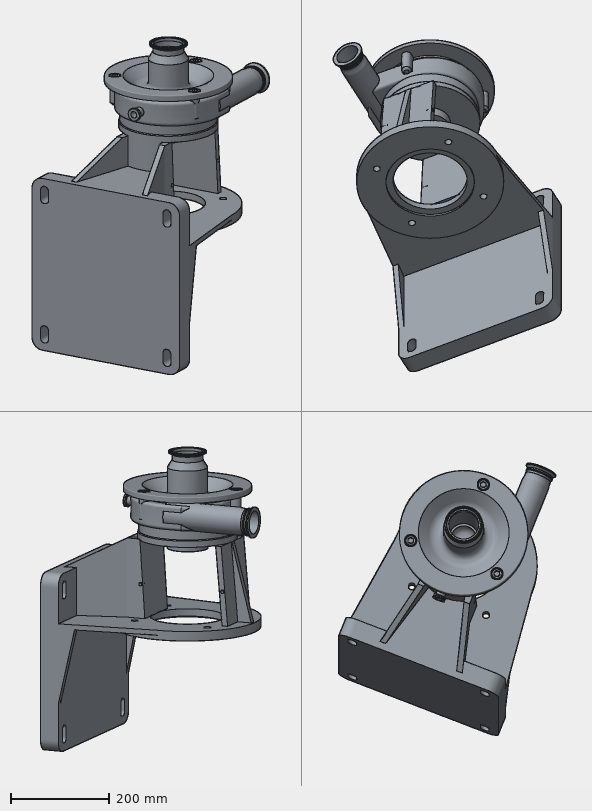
import cadquery as cq
import math


WALL_WIDTH = 350.0
WALL_HEIGHT = 370.0
WALL_THICKNESS = 40.0
WALL_FRONT_Y = -250.0
WALL_REAR_Y = WALL_FRONT_Y + WALL_THICKNESS
WALL_CORNER_RADIUS = 25.0
SLOT_WIDTH = 19.0
SLOT_LENGTH = 37.0
SLOT_EDGE_X = 30.0
SLOT_EDGE_Z = 35.0

SHELF_TOP_Z = 270.0
SHELF_DISC_THICKNESS = 20.0
SHELF_PLATE_THICKNESS = 10.5
SHELF_RADIUS = 150.0
SHELF_BORE_RADIUS = 75.5
MOTOR_REGISTER_RADIUS = 90.0
MOTOR_REGISTER_DEPTH = 5.0
MOTOR_BOLT_CIRCLE_RADIUS = 115.0
MOTOR_BOLT_DIAMETER = 14.0

GUSSET_TIP_Y = -175.5
GUSSET_BOTTOM_Z = 103.0
GUSSET_THICKNESS = 12.0

RING_BOTTOM_Z = 435.0
RING_TOP_Z = 450.0
RING_RADIUS = 101.5
RING_CHAMFER = 2.0
LEG_HALF_WIDTH = 56.5
FRONT_LEG_INNER_TOP_Y = -81.0
FRONT_LEG_INNER_BOTTOM_Y = -70.0
FRONT_LEG_SIDE_Y = -109.5
RIB_THICKNESS = 12.0
FRONT_RIB_ANGLE = 15.0
FRONT_RIB_END_Y = -235.0
REAR_LEG_INNER_TOP_Y = 88.0
REAR_LEG_INNER_BOTTOM_Y = 102.5
REAR_LEG_THICKNESS = 12.4
REAR_RIB_TOE_Y = 145.0
GUARD_HOLE_DIAMETER = 7.0
GUARD_HOLE_DEPTH = 12.0
GUARD_HOLE_Z = 341.0
FRONT_GUARD_HOLE_Y = -80.0
REAR_GUARD_HOLE_Y = 103.0

HOUSING_RADIUS = 99.5
HOUSING_TOP_Z = 526.0
SPIGOT_RADIUS = 98.0
HUB_RADIUS = 41.7
HUB_BOTTOM_Z = 413.0
PORT_Z = 500.0
VOLUTE_BOTTOM_Z = 473.5
VOLUTE_TOP_Z = 524.5
VOLUTE_EDGE_RADIUS = 6.0
VOLUTE_START_RADIUS = 101.0
VOLUTE_GROWTH_PER_TURN = 26.0
VOLUTE_THROAT_Y = 40.0
VOLUTE_TURNS = 0.75
VOLUTE_SPANS = 12

COVER_RADIUS = 131.0
COVER_BOTTOM_Z = 533.0
COVER_TOP_Z = 544.5
COVER_EDGE_RADIUS = 1.5
SCREW_CIRCLE_RADIUS = 109.0
SCREW_ANGLES = (90.0, 210.0, 330.0)
SCREW_RECESS_RADIUS = 12.4
SCREW_HEAD_RADIUS = 10.3
SCREW_RECESS_DEPTH = 5.0
SCREW_SOCKET_RADIUS = 6.5
BOSS_RADIUS = 10.0
BOSS_WEB_START = 90.0
BOSS_BOTTOM_Z = 482.0
BOSS_CHAMFER = 5.0
RECESS_MOUTH_RADIUS = 92.5
RECESS_MOUTH_CHAMFER = 1.7
RECESS_CONE_RADIUS = 69.3
RECESS_CONE_Z = 523.5
RECESS_FLOOR_OUTER_RADIUS = 58.7
RECESS_FLOOR_Z = 519.0

NOZZLE_TOP_Z = 614.5
NOZZLE_RADIUS = 41.0
NOZZLE_ROOT_RADIUS = 12.6
NOZZLE_CONE_BOTTOM_Z = 581.0
NOZZLE_CONE_TOP_Z = 596.5
NOZZLE_NECK_RADIUS = 31.75
NOZZLE_FERRULE_RADIUS = 38.75
NOZZLE_FERRULE_RIM_Z = 611.5
NOZZLE_FERRULE_BACK_Z = 608.0
GASKET_GROOVE_INNER_RADIUS = 34.0
GASKET_GROOVE_OUTER_RADIUS = 36.5
GASKET_GROOVE_DEPTH = 1.5
NOZZLE_BORE_RADIUS = 30.2
NOZZLE_BORE_BOTTOM_Z = 500.0
EYE_RADIUS = 25.0
EYE_BOTTOM_Z = 490.0
EYE_FLAT_RADIUS = 10.4
EYE_FLAT_Z = 478.0

OUTLET_X = 94.5
OUTLET_END_Y = 191.0
OUTLET_RADIUS = 28.7
OUTLET_CONE_START_Y = 158.3
OUTLET_CONE_END_Y = 167.0
OUTLET_STEP_Y = 173.3
OUTLET_NECK_RADIUS = 27.2
OUTLET_END_NECK_RADIUS = 26.5
OUTLET_BEAD_RADIUS = 28.4
OUTLET_BEAD_START_Y = 178.0
OUTLET_BEAD_END_Y = 180.5
OUTLET_FERRULE_BACK_Y = 184.0
OUTLET_FERRULE_RIM_Y = 188.3
OUTLET_FERRULE_RADIUS = 32.0
OUTLET_BORE_RADIUS = 23.5

DRAIN_END = 138.0
DRAIN_RADIUS = 9.7
DRAIN_FERRULE_START = 132.0
DRAIN_FERRULE_RADIUS = 13.2
DRAIN_GROOVE_RADIUS = 11.8
DRAIN_BORE_RADIUS = 7.0
DRAIN_BORE_BOTTOM = 115.0


def cylinder(radius, bottom_z, top_z, x=0.0, y=0.0):
    """Upright cylinder between two heights."""
    return cq.Workplane("XY", origin=(x, y, bottom_z)).circle(radius).extrude(top_z - bottom_z)


def prism_along_x(points, half_width):
    """Y-Z outline extruded equally to both sides of X = 0."""
    return cq.Workplane("YZ").polyline(points).close().extrude(half_width, both=True)


def make_wall_plate():
    """Upright plate with rounded corners and four vertical slots."""
    plate = (
        cq.Workplane("XY")
        .box(WALL_WIDTH, WALL_THICKNESS, WALL_HEIGHT)
        .edges("|Y")
        .fillet(WALL_CORNER_RADIUS)
    )
    slots = (
        cq.Workplane("XZ")
        .rect(WALL_WIDTH - 2 * SLOT_EDGE_X, WALL_HEIGHT - 2 * SLOT_EDGE_Z, forConstruction=True)
        .vertices()
        .slot2D(SLOT_LENGTH, SLOT_WIDTH, 90)
        .extrude(WALL_THICKNESS, both=True)
    )
    center_y = (WALL_FRONT_Y + WALL_REAR_Y) / 2
    return plate.cut(slots).translate((0, center_y, WALL_HEIGHT / 2))


def make_shelf():
    """Round motor flange, recessed below for the motor spigot, on a plate widening to the wall."""
    half = WALL_WIDTH / 2
    plate = (
        cq.Workplane("XY", origin=(0, 0, SHELF_TOP_Z - SHELF_PLATE_THICKNESS))
        .moveTo(half, WALL_REAR_Y)
        .lineTo(SHELF_RADIUS, 0)
        .threePointArc((0, SHELF_RADIUS), (-SHELF_RADIUS, 0))
        .lineTo(-half, WALL_REAR_Y)
        .close()
        .extrude(SHELF_PLATE_THICKNESS)
    )
    disc_bottom = SHELF_TOP_Z - SHELF_DISC_THICKNESS
    shelf = plate.union(cylinder(SHELF_RADIUS, disc_bottom, SHELF_TOP_Z))
    shelf = shelf.cut(cylinder(SHELF_BORE_RADIUS, disc_bottom, SHELF_TOP_Z))
    shelf = shelf.cut(cylinder(MOTOR_REGISTER_RADIUS, disc_bottom, disc_bottom + MOTOR_REGISTER_DEPTH))
    bolt_holes = (
        cq.Workplane("XY", origin=(0, 0, disc_bottom))
        .polarArray(MOTOR_BOLT_CIRCLE_RADIUS, 45, 360, 4)
        .circle(MOTOR_BOLT_DIAMETER / 2)
        .extrude(SHELF_DISC_THICKNESS)
    )
    return shelf.cut(bolt_holes)


def make_gussets():
    """Two tapered webs below the shelf, flush with its slanted sides."""
    half = WALL_WIDTH / 2
    slope = (half - SHELF_RADIUS) / WALL_REAR_Y
    tip_x = SHELF_RADIUS + slope * GUSSET_TIP_Y
    profile = prism_along_x(
        [(GUSSET_TIP_Y, SHELF_TOP_Z), (WALL_REAR_Y, SHELF_TOP_Z), (WALL_REAR_Y, GUSSET_BOTTOM_Z),
         (GUSSET_TIP_Y, SHELF_TOP_Z - SHELF_PLATE_THICKNESS)],
        half,
    )
    outer = [(tip_x, GUSSET_TIP_Y), (half, WALL_REAR_Y)]
    inner = [(x - GUSSET_THICKNESS, y) for x, y in reversed(outer)]
    footprint = cq.Workplane("XY").polyline(outer + inner).close().extrude(SHELF_TOP_Z)
    web = profile.intersect(footprint)
    return web.union(web.mirror("YZ"))


def make_front_leg():
    """Leg with a round outer face, two splayed ribs, and a block joining them to the wall plate."""
    height = RING_BOTTOM_Z - SHELF_TOP_Z
    rib_run = FRONT_LEG_SIDE_Y - FRONT_RIB_END_Y
    rib_shift = rib_run * math.tan(math.radians(FRONT_RIB_ANGLE))
    rib_width_x = RIB_THICKNESS / math.cos(math.radians(FRONT_RIB_ANGLE))
    rib_inner_x = LEG_HALF_WIDTH - rib_width_x
    rib_inner_end_x = rib_inner_x + rib_shift
    root_x = rib_inner_x - rib_width_x
    root_y = FRONT_LEG_SIDE_Y + rib_width_x / math.tan(math.radians(FRONT_RIB_ANGLE))

    core = (
        cylinder(RING_RADIUS, SHELF_TOP_Z, RING_BOTTOM_Z)
        .intersect(cq.Workplane("XY").box(2 * rib_inner_x, 2 * RING_RADIUS, 2 * RING_BOTTOM_Z))
    )
    side = (
        cq.Workplane("XY", origin=(0, 0, SHELF_TOP_Z))
        .polyline([
            (LEG_HALF_WIDTH, 0),
            (LEG_HALF_WIDTH, FRONT_LEG_SIDE_Y),
            (LEG_HALF_WIDTH + rib_shift, FRONT_RIB_END_Y),
            (rib_inner_end_x, FRONT_RIB_END_Y),
            (rib_inner_x, FRONT_LEG_SIDE_Y),
            (root_x, root_y),
            (root_x, 0),
        ])
        .close()
        .extrude(height)
    )
    infill = (
        cq.Workplane("XY", origin=(0, 0, SHELF_TOP_Z))
        .polyline([
            (rib_inner_x, FRONT_LEG_SIDE_Y),
            (rib_inner_end_x, FRONT_RIB_END_Y),
            (-rib_inner_end_x, FRONT_RIB_END_Y),
            (-rib_inner_x, FRONT_LEG_SIDE_Y),
            (-rib_inner_x, FRONT_LEG_INNER_TOP_Y),
            (rib_inner_x, FRONT_LEG_INNER_TOP_Y),
        ])
        .close()
        .extrude(WALL_HEIGHT - SHELF_TOP_Z)
    )
    profile = prism_along_x(
        [(FRONT_LEG_INNER_BOTTOM_Y, SHELF_TOP_Z), (FRONT_LEG_INNER_TOP_Y, RING_BOTTOM_Z),
         (FRONT_LEG_SIDE_Y, RING_BOTTOM_Z), (FRONT_RIB_END_Y, WALL_HEIGHT),
         (FRONT_RIB_END_Y, SHELF_TOP_Z)],
        WALL_WIDTH / 2,
    )
    return core.union(side).union(side.mirror("YZ")).union(infill).intersect(profile)


def make_rear_leg():
    """Flat leg leaning outward to its foot, backed by one triangular rib on the centre plane."""
    outer_top_y = REAR_LEG_INNER_TOP_Y + REAR_LEG_THICKNESS
    outer_bottom_y = REAR_LEG_INNER_BOTTOM_Y + REAR_LEG_THICKNESS
    leg = prism_along_x(
        [(REAR_LEG_INNER_BOTTOM_Y, SHELF_TOP_Z), (outer_bottom_y, SHELF_TOP_Z),
         (outer_top_y, RING_BOTTOM_Z), (REAR_LEG_INNER_TOP_Y, RING_BOTTOM_Z)],
        LEG_HALF_WIDTH,
    )
    rib = prism_along_x(
        [(REAR_LEG_INNER_BOTTOM_Y, SHELF_TOP_Z), (REAR_RIB_TOE_Y, SHELF_TOP_Z),
         (RING_RADIUS, RING_BOTTOM_Z), (REAR_LEG_INNER_TOP_Y, RING_BOTTOM_Z)],
        RIB_THICKNESS / 2,
    )
    return leg.union(rib)


def make_guard_holes():
    """Blind holes in both side faces of each leg."""
    holes = (
        cq.Workplane("YZ", origin=(LEG_HALF_WIDTH - GUARD_HOLE_DEPTH, 0, 0))
        .pushPoints([(FRONT_GUARD_HOLE_Y, GUARD_HOLE_Z), (REAR_GUARD_HOLE_Y, GUARD_HOLE_Z)])
        .circle(GUARD_HOLE_DIAMETER / 2)
        .extrude(GUARD_HOLE_DEPTH)
    )
    return holes.union(holes.mirror("YZ"))


def make_housing():
    """Round core of the pump with its mounting ring, the cover spigot above and the hub below."""
    ring = cylinder(RING_RADIUS, RING_BOTTOM_Z, RING_TOP_Z).faces(">Z").edges().chamfer(RING_CHAMFER)
    return (
        ring
        .union(cylinder(HOUSING_RADIUS, RING_BOTTOM_Z, HOUSING_TOP_Z))
        .union(cylinder(SPIGOT_RADIUS, HOUSING_TOP_Z, COVER_BOTTOM_Z))
        .union(cylinder(HUB_RADIUS, HUB_BOTTOM_Z, RING_BOTTOM_Z))
    )


def volute_point(turn):
    """Point of the volute spiral; turns run counterclockwise from 0 at +Y."""
    radius = VOLUTE_START_RADIUS + VOLUTE_GROWTH_PER_TURN * turn
    angle = math.pi / 2 + 2 * math.pi * turn
    return radius * math.cos(angle), radius * math.sin(angle)


def make_volute():
    """Spiral casing that widens toward the discharge side."""
    spiral = [volute_point(VOLUTE_TURNS * i / VOLUTE_SPANS) for i in range(VOLUTE_SPANS + 1)]
    start_y = spiral[0][1]
    return (
        cq.Workplane("XY", origin=(0, 0, VOLUTE_BOTTOM_Z))
        .moveTo(*spiral[0])
        .spline(spiral[1:], includeCurrent=True)
        .lineTo(spiral[-1][0], VOLUTE_THROAT_Y)
        .lineTo(OUTLET_X, start_y)
        .close()
        .extrude(VOLUTE_TOP_Z - VOLUTE_BOTTOM_Z)
        .faces("<Z or >Z")
        .edges()
        .fillet(VOLUTE_EDGE_RADIUS)
    )


def revolve_along_y(points, x, direction):
    """Solid of revolution about a Y-parallel axis at port height; points are (radius, distance)."""
    outline = [(radius, direction * distance) for radius, distance in points]
    return (
        cq.Workplane("XY", origin=(x, 0, PORT_Z))
        .polyline(outline)
        .close()
        .revolve(360, (0, 0, 0), (0, 1, 0))
    )


def make_outlet():
    """Tangential discharge pipe with a reducer, a bead and a clamp ferrule."""
    return revolve_along_y(
        [
            (0, 0),
            (OUTLET_RADIUS, 0),
            (OUTLET_RADIUS, OUTLET_CONE_START_Y),
            (OUTLET_NECK_RADIUS, OUTLET_CONE_END_Y),
            (OUTLET_NECK_RADIUS, OUTLET_STEP_Y),
            (OUTLET_END_NECK_RADIUS, OUTLET_STEP_Y),
            (OUTLET_END_NECK_RADIUS, OUTLET_BEAD_START_Y),
            (OUTLET_BEAD_RADIUS, OUTLET_BEAD_START_Y),
            (OUTLET_BEAD_RADIUS, OUTLET_BEAD_END_Y),
            (OUTLET_END_NECK_RADIUS, OUTLET_BEAD_END_Y),
            (OUTLET_END_NECK_RADIUS, OUTLET_FERRULE_BACK_Y),
            (OUTLET_FERRULE_RADIUS, OUTLET_FERRULE_RIM_Y),
            (OUTLET_FERRULE_RADIUS, OUTLET_END_Y),
            (0, OUTLET_END_Y),
        ],
        OUTLET_X,
        1,
    )


def make_drain():
    """Small ferruled port; its rim carries a shallow V groove."""
    groove_y = (DRAIN_FERRULE_START + DRAIN_END) / 2
    return revolve_along_y(
        [
            (0, 0),
            (DRAIN_RADIUS, 0),
            (DRAIN_RADIUS, DRAIN_FERRULE_START),
            (DRAIN_FERRULE_RADIUS, DRAIN_FERRULE_START),
            (DRAIN_GROOVE_RADIUS, groove_y),
            (DRAIN_FERRULE_RADIUS, DRAIN_END),
            (0, DRAIN_END),
        ],
        0,
        -1,
    )


def make_port_bores():
    """Blind bores of the discharge pipe and the drain port."""
    outlet = revolve_along_y(
        [(0, 0), (OUTLET_BORE_RADIUS, 0), (OUTLET_BORE_RADIUS, OUTLET_END_Y), (0, OUTLET_END_Y)],
        OUTLET_X,
        1,
    )
    drain = revolve_along_y(
        [(0, DRAIN_BORE_BOTTOM), (DRAIN_BORE_RADIUS, DRAIN_BORE_BOTTOM), (DRAIN_BORE_RADIUS, DRAIN_END),
         (0, DRAIN_END)],
        0,
        -1,
    )
    return outlet.union(drain)


def screw_positions():
    """Plan positions of the cover screws."""
    return [
        (SCREW_CIRCLE_RADIUS * math.cos(math.radians(a)), SCREW_CIRCLE_RADIUS * math.sin(math.radians(a)))
        for a in SCREW_ANGLES
    ]


def make_bosses():
    """Screw bosses, webbed to the casing, that run from the cover down the side of the casing."""
    height = COVER_BOTTOM_Z - BOSS_BOTTOM_Z
    boss = (
        cylinder(BOSS_RADIUS, BOSS_BOTTOM_Z, COVER_BOTTOM_Z, SCREW_CIRCLE_RADIUS)
        .faces("<Z")
        .edges()
        .chamfer(BOSS_CHAMFER)
    )
    web_length = SCREW_CIRCLE_RADIUS - BOSS_WEB_START
    web = (
        cq.Workplane("XY", origin=(BOSS_WEB_START, 0, BOSS_BOTTOM_Z + BOSS_CHAMFER))
        .box(web_length, 2 * BOSS_RADIUS, height - BOSS_CHAMFER, centered=(False, True, False))
    )
    webbed_boss = boss.union(web)
    bosses = cq.Workplane("XY")
    for angle in SCREW_ANGLES:
        bosses = bosses.add(webbed_boss.rotate((0, 0, 0), (0, 0, 1), angle))
    return bosses.combine()


def make_screw_recesses():
    """Ring gap around each flush screw head and the hexagon socket in it."""
    plane = cq.Workplane("XY", origin=(0, 0, COVER_TOP_Z - SCREW_RECESS_DEPTH)).pushPoints(screw_positions())
    gaps = plane.circle(SCREW_RECESS_RADIUS).circle(SCREW_HEAD_RADIUS).extrude(SCREW_RECESS_DEPTH)
    sockets = plane.polygon(6, 2 * SCREW_SOCKET_RADIUS).extrude(SCREW_RECESS_DEPTH)
    return gaps.union(sockets)


def make_cover():
    """Flat round cover."""
    return cylinder(COVER_RADIUS, COVER_BOTTOM_Z, COVER_TOP_Z).faces(">Z").edges().fillet(COVER_EDGE_RADIUS)


def make_cover_recess():
    """Dished recess around the suction nozzle, blending into the nozzle with a concave root."""
    root_outer = NOZZLE_RADIUS + NOZZLE_ROOT_RADIUS
    root_top = RECESS_FLOOR_Z + NOZZLE_ROOT_RADIUS
    diagonal = NOZZLE_ROOT_RADIUS * math.sqrt(0.5)
    dish_mid_radius = (RECESS_FLOOR_OUTER_RADIUS + RECESS_CONE_RADIUS) / 2
    dish_sag = (RECESS_CONE_Z - RECESS_FLOOR_Z) / 4
    return (
        cq.Workplane("XZ")
        .moveTo(NOZZLE_RADIUS, COVER_TOP_Z)
        .lineTo(NOZZLE_RADIUS, root_top)
        .threePointArc((root_outer - diagonal, root_top - diagonal), (root_outer, RECESS_FLOOR_Z))
        .lineTo(RECESS_FLOOR_OUTER_RADIUS, RECESS_FLOOR_Z)
        .threePointArc((dish_mid_radius, RECESS_FLOOR_Z + dish_sag), (RECESS_CONE_RADIUS, RECESS_CONE_Z))
        .lineTo(RECESS_MOUTH_RADIUS - RECESS_MOUTH_CHAMFER, COVER_TOP_Z - RECESS_MOUTH_CHAMFER / 2)
        .lineTo(RECESS_MOUTH_RADIUS, COVER_TOP_Z)
        .close()
        .revolve(360, (0, 0, 0), (0, 1, 0))
    )


def make_nozzle():
    """Suction nozzle with a reducer and a clamp ferrule."""
    return (
        cq.Workplane("XZ")
        .polyline([
            (0, RECESS_FLOOR_Z),
            (NOZZLE_RADIUS, RECESS_FLOOR_Z),
            (NOZZLE_RADIUS, NOZZLE_CONE_BOTTOM_Z),
            (NOZZLE_NECK_RADIUS, NOZZLE_CONE_TOP_Z),
            (NOZZLE_NECK_RADIUS, NOZZLE_FERRULE_BACK_Z),
            (NOZZLE_FERRULE_RADIUS, NOZZLE_FERRULE_RIM_Z),
            (NOZZLE_FERRULE_RADIUS, NOZZLE_TOP_Z),
            (0, NOZZLE_TOP_Z),
        ])
        .close()
        .revolve(360, (0, 0, 0), (0, 1, 0))
    )


def make_gasket_groove():
    """Shallow ring groove in the end face of the suction ferrule."""
    return (
        cq.Workplane("XY", origin=(0, 0, NOZZLE_TOP_Z - GASKET_GROOVE_DEPTH))
        .circle(GASKET_GROOVE_OUTER_RADIUS)
        .circle(GASKET_GROOVE_INNER_RADIUS)
        .extrude(GASKET_GROOVE_DEPTH)
    )


def make_nozzle_bore():
    """Suction bore that steps down to the impeller eye and ends in a bowl with a flat centre."""
    bowl_mid_radius = EYE_FLAT_RADIUS + (EYE_RADIUS - EYE_FLAT_RADIUS) * math.sqrt(0.5)
    bowl_mid_z = EYE_BOTTOM_Z - (EYE_BOTTOM_Z - EYE_FLAT_Z) * math.sqrt(0.5)
    return (
        cq.Workplane("XZ")
        .moveTo(0, NOZZLE_TOP_Z)
        .lineTo(NOZZLE_BORE_RADIUS, NOZZLE_TOP_Z)
        .lineTo(NOZZLE_BORE_RADIUS, NOZZLE_BORE_BOTTOM_Z)
        .lineTo(EYE_RADIUS, NOZZLE_BORE_BOTTOM_Z)
        .lineTo(EYE_RADIUS, EYE_BOTTOM_Z)
        .threePointArc((bowl_mid_radius, bowl_mid_z), (EYE_FLAT_RADIUS, EYE_FLAT_Z))
        .lineTo(0, EYE_FLAT_Z)
        .close()
        .revolve(360, (0, 0, 0), (0, 1, 0))
    )


bracket = (
    make_wall_plate()
    .union(make_shelf())
    .union(make_gussets())
    .union(make_front_leg())
    .union(make_rear_leg())
    .cut(make_guard_holes())
)
pump = (
    make_housing()
    .union(make_volute())
    .union(make_outlet())
    .union(make_drain())
    .union(make_bosses())
    .union(make_cover())
    .cut(make_cover_recess())
    .union(make_nozzle())
    .cut(make_screw_recesses())
    .cut(make_gasket_groove())
    .cut(make_nozzle_bore())
    .cut(make_port_bores())
)
result = bracket.union(pump)